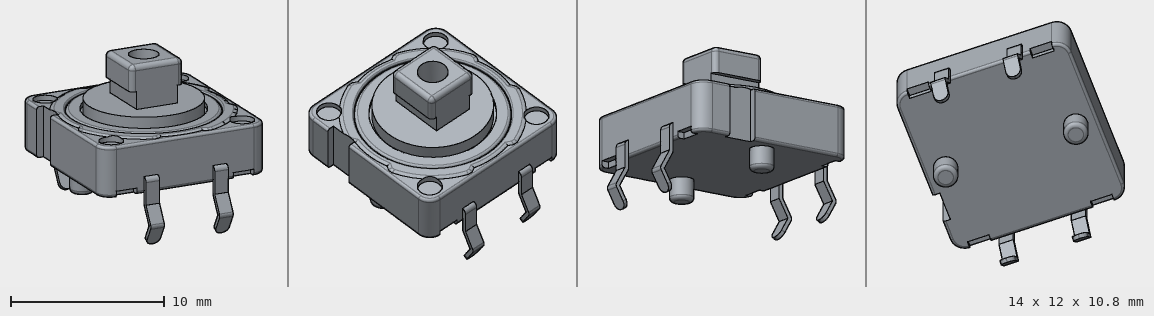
import cadquery as cq
import math

BODY_SIDE = 12.0
BODY_HEIGHT = 3.5
CORNER_RADIUS = 1.0
EDGE_FILLET = 0.2
HALF_SIDE = BODY_SIDE / 2

COVER_HEIGHT = 0.1
COVER_TOP = BODY_HEIGHT + COVER_HEIGHT
COVER_RADIUS = 6.1
COVER_FLAT = 5.7
LOBE_RADIUS = 5.71
JOG_FLAT_X = 1.8
JOG_LOBE_X = 1.48
COVER_FILLET = 0.39

GROOVE_OUTER_RADIUS = 5.24
GROOVE_INNER_RADIUS = 4.9
GROOVE_LIP_FILLET = 0.1
GROOVE_INNER_FILLET = 0.2

DISC_RADIUS = 3.96
DISC_TOP = 4.3
GAP_RADIUS = 4.16
GAP_DEPTH = 0.3
HEAD_SIDE = 3.84
HEAD_FILLET = 0.35
HEAD_BOTTOM = 5.52
STEM_TOP = 7.31
NECK_DEPTH = 2.95
BORE_TOP_RADIUS = 1.0
BORE_BOTTOM_RADIUS = 0.8

CORNER_HOLE_RADIUS = 0.81
CORNER_HOLE_PLACE = 4.77
CORNER_HOLE_DEPTH = 0.35
NOTCH_LEFT = -3.6
NOTCH_WIDTH = 2.0
NOTCH_DEPTH = 0.5

POST_RADIUS = 0.8
POST_LENGTH = 1.48
POST_FILLET = 0.3
POST_PLACE = 4.51
RELIEF_INNER = 3.51
RELIEF_OUTER = HALF_SIDE - CORNER_RADIUS
RELIEF_HEIGHT = 0.43
RELIEF_DEPTH = 0.5

PIN_THICKNESS = 0.3
PIN_WIDTH = 1.0
PIN_TIP_RADIUS = 0.49
PIN_PLACE = 2.5
PIN_TOP = 1.15
PIN_TOP_RADIUS = 0.34
PIN_BEND_Z = -0.74
PIN_REACH = 7.0
PIN_BOTTOM = -3.49
PIN_ANGLE = math.radians(30)

EMBED = 0.28


def make_body():
    box = cq.Workplane("XY").rect(BODY_SIDE, BODY_SIDE).extrude(BODY_HEIGHT)
    box = box.edges("|Z").fillet(CORNER_RADIUS)
    return box.faces("<Z or >Z").edges().fillet(EDGE_FILLET)


def cover_outline(height, margin):
    """Closed cover outline: four corner arcs, four lobes and the jogs between them.

    The margin widens the outline beyond the edge seen on top of the housing.
    """
    corner_radius = COVER_RADIUS + margin
    lobe_radius = LOBE_RADIUS + margin
    flat = COVER_FLAT + margin
    flat_x = math.sqrt(corner_radius**2 - flat**2)
    lobe_y = math.sqrt(lobe_radius**2 - JOG_LOBE_X**2)
    diagonal = corner_radius / math.sqrt(2)

    def turned(x, y, turns):
        for _ in range(turns):
            x, y = -y, x
        return x, y

    sketch = cq.Workplane("XY").workplane(offset=height).moveTo(flat_x, flat)
    for side in range(4):
        sketch = (
            sketch.lineTo(*turned(JOG_FLAT_X, flat, side))
            .lineTo(*turned(JOG_LOBE_X, lobe_y, side))
            .threePointArc(turned(0, lobe_radius, side), turned(-JOG_LOBE_X, lobe_y, side))
            .lineTo(*turned(-JOG_FLAT_X, flat, side))
            .lineTo(*turned(-flat_x, flat, side))
            .threePointArc(turned(-diagonal, diagonal, side), turned(-flat, flat_x, side))
        )
    return sketch.close()


def make_cover():
    """Cover whose large edge fillet is partly sunk into the housing, so it meets the top at an angle."""
    sunk_depth = COVER_FILLET - COVER_HEIGHT
    hidden_width = COVER_FILLET - math.sqrt(COVER_FILLET**2 - sunk_depth**2)
    cover_floor = COVER_TOP - COVER_FILLET - EMBED
    cover = cover_outline(cover_floor, hidden_width).extrude(COVER_TOP - cover_floor)
    return cover.faces(">Z").edges().fillet(COVER_FILLET)


def make_groove():
    lip_wall_radius = GROOVE_OUTER_RADIUS - GROOVE_LIP_FILLET
    inner_wall_radius = GROOVE_INNER_RADIUS + GROOVE_INNER_FILLET
    floor = COVER_TOP - GROOVE_INNER_FILLET
    lip_45 = GROOVE_LIP_FILLET * math.sqrt(0.5)
    inner_45 = GROOVE_INNER_FILLET * math.sqrt(0.5)
    section = (
        cq.Workplane("XZ")
        .moveTo(GROOVE_INNER_RADIUS, COVER_TOP)
        .threePointArc((GROOVE_INNER_RADIUS + inner_45, floor + inner_45), (inner_wall_radius, floor))
        .lineTo(lip_wall_radius, floor)
        .lineTo(lip_wall_radius, COVER_TOP - GROOVE_LIP_FILLET)
        .threePointArc(
            (GROOVE_OUTER_RADIUS - lip_45, COVER_TOP - GROOVE_LIP_FILLET + lip_45),
            (GROOVE_OUTER_RADIUS, COVER_TOP),
        )
        .close()
    )
    return section.revolve(360, (0, 0, 0), (0, 1, 0))


def make_stem():
    gap_floor = COVER_TOP - GAP_DEPTH
    disc = cq.Workplane("XY").workplane(offset=gap_floor).circle(DISC_RADIUS).extrude(DISC_TOP - gap_floor)
    neck = cq.Workplane("XY").workplane(offset=DISC_TOP).rect(HEAD_SIDE, NECK_DEPTH)
    neck = neck.extrude(HEAD_BOTTOM - DISC_TOP)
    head = cq.Workplane("XY").workplane(offset=HEAD_BOTTOM).rect(HEAD_SIDE, HEAD_SIDE)
    head = head.extrude(STEM_TOP - HEAD_BOTTOM).edges("|Z or >Z").fillet(HEAD_FILLET)
    bore = cq.Solid.makeCone(
        BORE_BOTTOM_RADIUS, BORE_TOP_RADIUS, STEM_TOP - DISC_TOP, pnt=cq.Vector(0, 0, DISC_TOP)
    )
    return disc.union(neck).union(head).cut(cq.Workplane(bore))


def make_gap():
    return cq.Workplane("XY").workplane(offset=COVER_TOP - GAP_DEPTH).circle(GAP_RADIUS).extrude(GAP_DEPTH)


def make_corner_holes():
    floor = BODY_HEIGHT - CORNER_HOLE_DEPTH
    holes = cq.Workplane("XY").workplane(offset=floor)
    holes = holes.rect(2 * CORNER_HOLE_PLACE, 2 * CORNER_HOLE_PLACE, forConstruction=True).vertices()
    return holes.circle(CORNER_HOLE_RADIUS).extrude(COVER_TOP - floor)


def make_notch():
    notch = cq.Workplane("XY").box(NOTCH_WIDTH, NOTCH_DEPTH, COVER_TOP, centered=False)
    return notch.translate((NOTCH_LEFT, -HALF_SIDE, 0))


def make_reliefs():
    return (
        cq.Workplane("XY")
        .rect(BODY_SIDE - RELIEF_DEPTH, RELIEF_INNER + RELIEF_OUTER, forConstruction=True)
        .vertices()
        .rect(RELIEF_DEPTH, RELIEF_OUTER - RELIEF_INNER)
        .extrude(RELIEF_HEIGHT)
    )


def make_posts():
    posts = cq.Workplane("XY").pushPoints([(0, POST_PLACE), (0, -POST_PLACE)])
    posts = posts.circle(POST_RADIUS).extrude(-POST_LENGTH)
    return posts.faces("<Z").edges().fillet(POST_FILLET)


def make_pin():
    """One pin on the +X wall, centred on Y = 0."""
    inner_x = HALF_SIDE
    outer_x = inner_x + PIN_THICKNESS
    knee_x = PIN_REACH + PIN_THICKNESS * (1 / math.cos(PIN_ANGLE) - 1)
    knee_z = PIN_BEND_Z - (knee_x - outer_x) / math.tan(PIN_ANGLE)
    tip_x = knee_x - (knee_z - PIN_BOTTOM) * math.tan(PIN_ANGLE)
    across_x = PIN_THICKNESS * math.cos(PIN_ANGLE)
    across_z = PIN_THICKNESS * math.sin(PIN_ANGLE)
    inner_bend_z = PIN_BEND_Z - PIN_THICKNESS * math.tan(PIN_ANGLE / 2)
    inner_knee_x = knee_x - PIN_THICKNESS / math.cos(PIN_ANGLE)
    bend_x = outer_x - PIN_TOP_RADIUS
    bend_z = PIN_TOP - PIN_TOP_RADIUS
    bend_45 = PIN_TOP_RADIUS * math.sqrt(0.5)

    pin = (
        cq.Workplane("XZ")
        .moveTo(inner_x - EMBED, PIN_TOP)
        .lineTo(bend_x, PIN_TOP)
        .threePointArc((bend_x + bend_45, bend_z + bend_45), (outer_x, bend_z))
        .lineTo(outer_x, PIN_BEND_Z)
        .lineTo(knee_x, knee_z)
        .lineTo(tip_x, PIN_BOTTOM)
        .lineTo(tip_x - across_x, PIN_BOTTOM + across_z)
        .lineTo(inner_knee_x, knee_z)
        .lineTo(inner_x, inner_bend_z)
        .lineTo(inner_x, bend_z)
        .lineTo(inner_x - EMBED, bend_z)
        .close()
        .extrude(PIN_WIDTH / 2, both=True)
    )
    pin = pin.edges("|Y and >X").fillet(PIN_THICKNESS)
    tip_edges = cq.selectors.ParallelDirSelector(cq.Vector(-across_x, 0, across_z))
    return pin.edges(tip_edges).fillet(PIN_TIP_RADIUS)


body = make_body().union(make_cover()).cut(make_groove()).cut(make_gap())
body = body.cut(make_corner_holes()).cut(make_notch()).cut(make_reliefs())
result = body.union(make_stem()).union(make_posts())
pin = make_pin()
for pin_y in (-PIN_PLACE, PIN_PLACE):
    right_pin = pin.translate((0, pin_y, 0))
    result = result.union(right_pin).union(right_pin.mirror("YZ"))